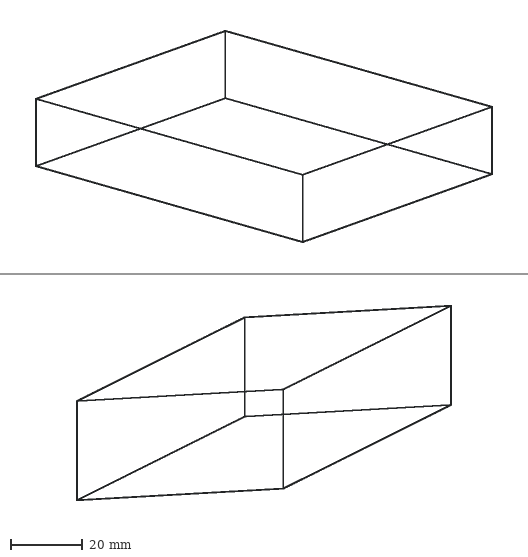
import cadquery as cq

overall_length = 121.5
depth = 41.6
height = 30.0

end_offset = depth
side_length = overall_length - end_offset

outline = [
    (0, 0),
    (side_length, 0),
    (overall_length, depth),
    (end_offset, depth),
]
result = cq.Workplane("XY").polyline(outline).close().extrude(height)